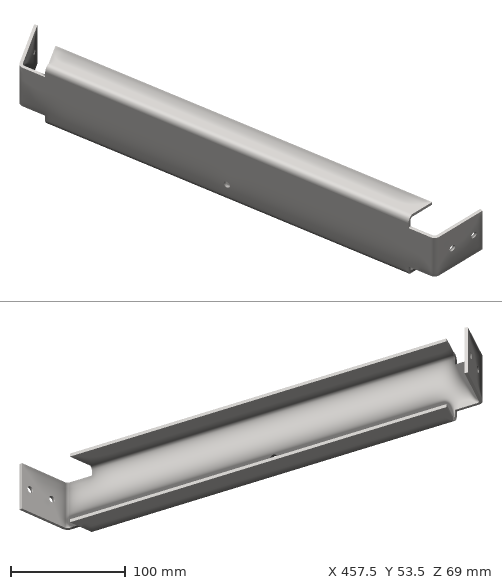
import cadquery as cq
import math

length = 457.5
depth = 53.5
height = 69.0

sheet = 3.0
bend_radius = 6.0

web_half_length = 185.5
flange_depth = 28.5

tab_height = 45.8
tab_angle = math.radians(17)

hole_diameter = 6.5
web_hole_z = -15.0
tab_hole_margin = 10.0
tab_hole_spacing = 25.0

lean_x = math.sin(tab_angle)
lean_y = math.cos(tab_angle)
bend_rise = bend_radius * (1 - lean_x)
tab_length = (depth - bend_rise - sheet * lean_x) / lean_y
bend_start_x = length / 2 - tab_length * lean_x - bend_radius * lean_y


def make_channel():
    """C-shaped channel, open towards +Y, with flange ends cut parallel to the tabs."""
    overhang = (flange_depth - bend_radius) * math.tan(tab_angle)
    flange_half_length = web_half_length + overhang
    outside = (
        cq.Workplane("XY")
        .box(2 * flange_half_length, flange_depth, height, centered=(True, False, True))
        .edges("|X and <Y")
        .fillet(bend_radius)
    )
    inside = (
        cq.Workplane("XY")
        .box(2 * flange_half_length, flange_depth, height - 2 * sheet, centered=(True, False, True))
        .edges("|X and <Y")
        .fillet(bend_radius - sheet)
        .translate((0, sheet, 0))
    )
    plan_outline = (
        cq.Workplane("XY")
        .moveTo(-web_half_length, 0)
        .lineTo(web_half_length, 0)
        .lineTo(web_half_length, bend_radius)
        .lineTo(flange_half_length, flange_depth)
        .lineTo(-flange_half_length, flange_depth)
        .lineTo(-web_half_length, bend_radius)
        .close()
        .extrude(height / 2, both=True)
    )
    return outside.cut(inside).intersect(plan_outline)


def make_right_tab():
    """Strip from the middle of the web, round the bend, to the free edge of the +X tab."""
    inner_radius = bend_radius - sheet

    def bend_point(radius, angle):
        return (bend_start_x + radius * math.sin(angle), bend_radius - radius * math.cos(angle))

    bend_angle = math.pi / 2 - tab_angle
    outer_end = bend_point(bend_radius, bend_angle)
    inner_end = bend_point(inner_radius, bend_angle)
    run_x = tab_length * lean_x
    run_y = tab_length * lean_y
    strip = (
        cq.Workplane("XY")
        .moveTo(0, 0)
        .lineTo(bend_start_x, 0)
        .threePointArc(bend_point(bend_radius, bend_angle / 2), outer_end)
        .lineTo(outer_end[0] + run_x, outer_end[1] + run_y)
        .lineTo(inner_end[0] + run_x, inner_end[1] + run_y)
        .lineTo(*inner_end)
        .threePointArc(bend_point(inner_radius, bend_angle / 2), (bend_start_x, sheet))
        .lineTo(0, sheet)
        .close()
        .extrude(tab_height / 2, both=True)
    )
    outer_face = cq.Plane(
        origin=(outer_end[0], outer_end[1], 0),
        xDir=(lean_x, lean_y, 0),
        normal=(lean_y, -lean_x, 0),
    )
    far_hole = tab_length - tab_hole_margin
    holes = (
        cq.Workplane(outer_face)
        .pushPoints([(far_hole, 0), (far_hole - tab_hole_spacing, 0)])
        .circle(hole_diameter / 2)
        .extrude(sheet, both=True)
    )
    return strip.cut(holes)


right_tab = make_right_tab()
left_tab = right_tab.mirror("YZ")
web_hole = (
    cq.Workplane("XZ")
    .center(0, web_hole_z)
    .circle(hole_diameter / 2)
    .extrude(sheet, both=True)
)

result = make_channel().union(right_tab).union(left_tab).cut(web_hole)